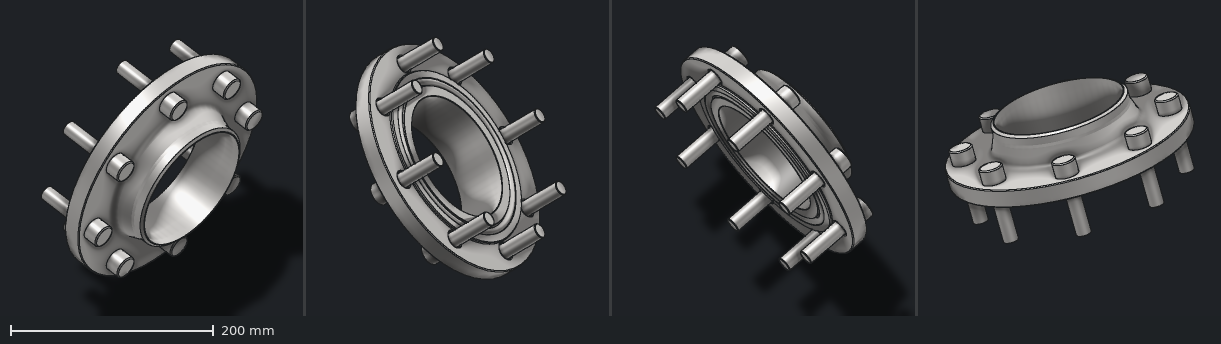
import cadquery as cq
import math


plate_radius = 250 / 2
plate_thickness = 19.0
plate_chamfer = 1.0
bore_radius = 131.8 / 2
bore_chamfer = 0.5

raised_radius = 188.0 / 2
raised_height = 3.0
raised_root_fillet = 1.0
groove_inner_radius = 154.5 / 2
groove_outer_radius = 172.0 / 2
groove_chamfer = 0.2

ring_section_radius = 3.5
ring_projection = 1.2
ring_path_radius = groove_outer_radius - ring_section_radius
ring_center_x = ring_section_radius - raised_height - ring_projection
groove_depth = 2 * ring_section_radius - ring_projection

neck_length = 33.0
tip_x = plate_thickness + neck_length
neck_end_radius = 139.8 / 2
taper_length = 21.0
taper_end_x = plate_thickness + taper_length
taper_angle = math.radians(20)
neck_root_radius = neck_end_radius + taper_length * math.tan(taper_angle)
neck_root_fillet = 8.0
neck_end_fillet = 8.8
bevel_length = 2.2
bevel_tip_radius = bore_radius + 1.0

bolt_count = 8
bolt_circle_radius = 105
hole_diameter = 18.0
hole_chamfer = 1.0
shank_diameter = 15.8
shank_length = 65
shank_chamfer = 0.8
head_diameter = 24.0
head_height = 16.0
head_chamfer = 1.2

bolt_angles = [index * 360 / bolt_count for index in range(bolt_count)]
AXIS_START = (0, 0, 0)
AXIS_END = (1, 0, 0)


def disc(radius, start_x, length):
    """Solid cylinder around the X axis, running in +X from start_x."""
    return cq.Workplane("YZ").workplane(offset=start_x).circle(radius).extrude(length)


def turned(outline):
    """Solid made by turning an (X, radius) outline around the X axis."""
    return cq.Workplane("XY").polyline(outline).close().revolve(360, AXIS_START, AXIS_END)


def circle_at(x, radius):
    """Selector for the edges at the given X that reach no farther than radius from the axis."""
    margin = 0.12
    reach = radius + margin
    low_corner = (x - margin, -reach, -reach)
    high_corner = (x + margin, reach, reach)
    return cq.selectors.BoxSelector(low_corner, high_corner, boundingbox=True)


def around_bolt_circle(shape):
    """One copy of an on-axis shape at each bolt position."""
    placed = shape.translate((0, 0, bolt_circle_radius))
    return [placed.rotate(AXIS_START, AXIS_END, angle) for angle in bolt_angles]


def make_plate():
    return disc(plate_radius, 0, plate_thickness).edges().chamfer(plate_chamfer)


def make_neck():
    """Tapered neck with a bevelled tip and unrounded taper ends; it starts at X = 0 inside the plate."""
    outline = [
        (0, 0),
        (0, neck_root_radius),
        (plate_thickness, neck_root_radius),
        (taper_end_x, neck_end_radius),
        (tip_x - bevel_length, neck_end_radius),
        (tip_x, bevel_tip_radius),
        (tip_x, 0),
    ]
    return turned(outline)


def make_flange():
    flange = make_plate().union(make_neck())
    flange = flange.union(disc(raised_radius, -raised_height, raised_height))

    flange = flange.edges(circle_at(0, raised_radius)).fillet(raised_root_fillet)
    flange = flange.edges(circle_at(plate_thickness, neck_root_radius)).fillet(neck_root_fillet)
    flange = flange.edges(circle_at(taper_end_x, neck_end_radius)).fillet(neck_end_fillet)

    flange = flange.cut(disc(bore_radius, -raised_height, raised_height + tip_x))
    groove = disc(groove_outer_radius, -raised_height, groove_depth)
    groove = groove.cut(disc(groove_inner_radius, -raised_height, groove_depth))
    flange = flange.cut(groove)
    edge_chamfers = [
        (bore_radius, bore_chamfer),
        (groove_inner_radius, groove_chamfer),
        (groove_outer_radius, groove_chamfer),
    ]
    for radius, chamfer in edge_chamfers:
        smaller_edges = circle_at(-raised_height, radius - groove_chamfer)
        face_edge = circle_at(-raised_height, radius) - smaller_edges
        flange = flange.edges(face_edge).chamfer(chamfer)

    hole_radius = hole_diameter / 2
    hole = disc(hole_radius, 0, plate_thickness)
    chamfer_outline = [
        (0, 0),
        (0, hole_radius + hole_chamfer),
        (hole_chamfer, hole_radius),
        (hole_chamfer, 0),
    ]
    countersink = turned(chamfer_outline)
    for cutter in around_bolt_circle(hole.union(countersink)):
        flange = flange.cut(cutter)
    return flange


def make_o_ring():
    return (
        cq.Workplane("XY")
        .center(ring_center_x, ring_path_radius)
        .circle(ring_section_radius)
        .revolve(360, (0, -ring_path_radius, 0), (1, -ring_path_radius, 0))
    )


def make_bolt():
    """Bolt on the X axis with its head seated on the +X face of the plate."""
    shank = disc(shank_diameter / 2, plate_thickness - shank_length, shank_length)
    shank = shank.faces("<X").chamfer(shank_chamfer)
    head = disc(head_diameter / 2, plate_thickness, head_height)
    head = head.faces(">X").chamfer(head_chamfer)
    return shank.union(head)


flange = make_flange()
o_ring = make_o_ring()
bolts = around_bolt_circle(make_bolt())

result = cq.Compound.makeCompound([flange.val(), o_ring.val(), *[bolt.val() for bolt in bolts]])